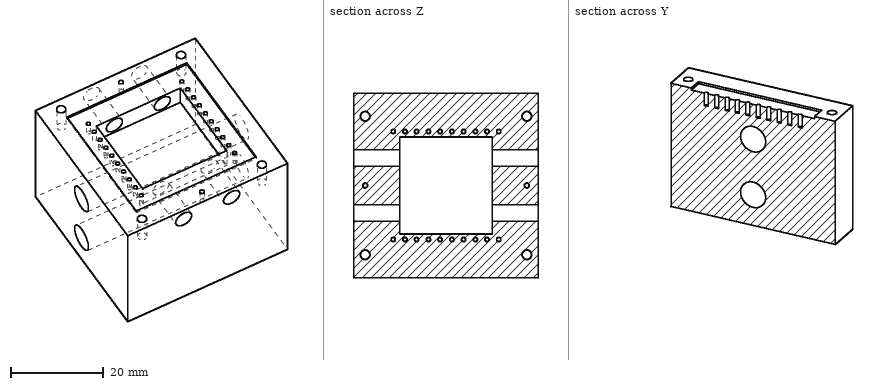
import cadquery as cq

block_x = 40.0
block_y = 40.0
block_z = 30.0

recess_side = 30.0
recess_depth = 0.5
pocket_x = 20.0
pocket_y = 21.0
pocket_depth = 5.0

side_channel_diameter = 4.0
side_channel_spacing = 12.0
side_channel_z = 27.0

front_channel_diameter = 6.0
front_channel_heights = (7.5, 21.0)

rim_hole_spacing_x = 35.0
screw_hole_diameter = 2.0
screw_hole_spacing_y = 30.0
screw_hole_depth = 6.0
dowel_hole_diameter = 1.0
dowel_hole_depth = 3.0

pin_hole_diameter = 0.86
pin_hole_depth = 3.0
pins_per_row = 10
pin_pitch = 2.54
pin_row_spacing = 23.4

recess_floor_z = block_z - recess_depth


def make_block():
    """Solid block centred on Z with its underside at Z = 0."""
    return cq.Workplane("XY").box(block_x, block_y, block_z, centered=(True, True, False))


def sunk_rectangle(size_x, size_y, top_z, depth):
    """Rectangular cutter reaching down from top_z."""
    return cq.Workplane("XY").workplane(offset=top_z).rect(size_x, size_y).extrude(-depth)


def grid_of_holes(spacing_x, spacing_y, count_x, count_y, diameter, top_z, depth):
    """Vertical flat-bottomed hole cutters on a centred grid, reaching down from top_z."""
    return (
        cq.Workplane("XY")
        .workplane(offset=top_z)
        .rarray(spacing_x, spacing_y, count_x, count_y)
        .circle(diameter / 2)
        .extrude(-depth)
    )


def side_channels():
    """Cutters for the pair of channels running the full length of X."""
    half_spacing = side_channel_spacing / 2
    centres = [(-half_spacing, side_channel_z), (half_spacing, side_channel_z)]
    return (
        cq.Workplane("YZ")
        .pushPoints(centres)
        .circle(side_channel_diameter / 2)
        .extrude(block_x / 2, both=True)
    )


def front_channels():
    """Cutters for the channels running the full length of Y."""
    centres = [(0, height) for height in front_channel_heights]
    return (
        cq.Workplane("XZ")
        .pushPoints(centres)
        .circle(front_channel_diameter / 2)
        .extrude(block_y / 2, both=True)
    )


def screw_holes():
    """Cutters for the four screw holes beside the recess corners."""
    return grid_of_holes(
        rim_hole_spacing_x, screw_hole_spacing_y, 2, 2,
        screw_hole_diameter, block_z, screw_hole_depth,
    )


def dowel_holes():
    """Cutters for the two dowel holes on the X axis."""
    return grid_of_holes(
        rim_hole_spacing_x, block_y, 2, 1,
        dowel_hole_diameter, block_z, dowel_hole_depth,
    )


def pin_holes():
    """Cutters for the two rows of pin holes beside the pocket."""
    return grid_of_holes(
        pin_pitch, pin_row_spacing, pins_per_row, 2,
        pin_hole_diameter, recess_floor_z, pin_hole_depth,
    )


result = (
    make_block()
    .cut(sunk_rectangle(recess_side, recess_side, block_z, recess_depth))
    .cut(sunk_rectangle(pocket_x, pocket_y, recess_floor_z, pocket_depth))
    .cut(side_channels())
    .cut(front_channels())
    .cut(screw_holes())
    .cut(dowel_holes())
    .cut(pin_holes())
)